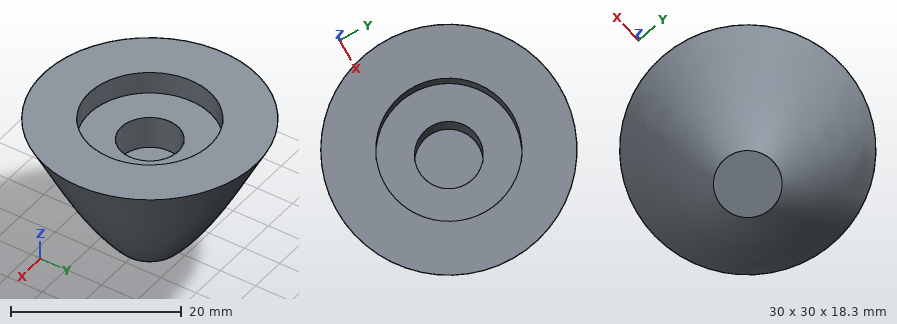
import cadquery as cq

height = 18.33
top_radius = 15.0
base_radius = 4.02
upper_waist_radius = 10.55
upper_waist_height = 9.75
lower_waist_radius = 6.55
lower_waist_height = 3.15
recess_radius = 8.55
recess_depth = 3.1
bore_radius = 4.02
bore_depth = 4.5

profile = (
    cq.Workplane("XZ")
    .lineTo(base_radius, 0)
    .spline(
        [
            (lower_waist_radius, lower_waist_height),
            (upper_waist_radius, upper_waist_height),
            (top_radius, height),
        ],
        includeCurrent=True,
    )
    .lineTo(0, height)
    .close()
)
body = profile.revolve(360, (0, 0, 0), (0, 1, 0))

recess_floor = height - recess_depth
recess = cq.Workplane("XY").workplane(offset=recess_floor).circle(recess_radius).extrude(recess_depth)
bore = cq.Workplane("XY").workplane(offset=recess_floor - bore_depth).circle(bore_radius).extrude(bore_depth)

result = body.cut(recess).cut(bore)